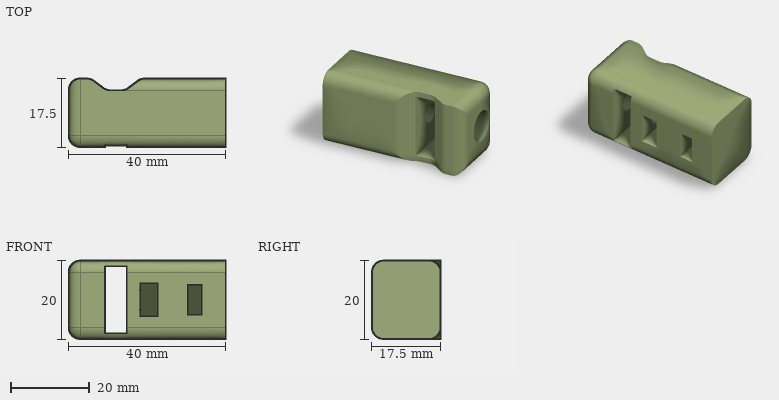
import cadquery as cq

length = 40.0
depth = 17.5
height = 20.0
edge_radius = 3.0

notch_center_x = 12.0
notch_depth = edge_radius
notch_floor_width = 4.8
notch_flank_run = 4.0
notch_blend_radius = 3.0
slot_width = 5.5
slot_height = 17.0

bore_center_y = 6.9
counterbore_diameter = 8.5
counterbore_depth = 5.0
bore_diameter = 5.2

front_pocket_start_x = 18.2
front_pocket_width = 4.5
front_pocket_height = 8.5
rear_pocket_start_x = 30.25
rear_pocket_width = 3.55
rear_pocket_height = 7.6
pocket_depth = bore_center_y + counterbore_diameter / 2

slot_start_x = notch_center_x - slot_width / 2


def block(start_x, size_x, size_y, size_z):
    """Box from start_x along +X, standing on the -Y side, centred in Z."""
    box = cq.Workplane("XY").box(size_x, size_y, size_z, centered=(False, False, True))
    return box.translate((start_x, 0, 0))


def make_body():
    """Front half with a rounded end and sharp +Y edges, rear half with all four long edges rounded."""
    front = block(0, notch_center_x, depth, height)
    front = front.edges("<X or (|X and <Y)").fillet(edge_radius)
    rear = block(notch_center_x, length - notch_center_x, depth, height)
    rear = rear.edges("|X").fillet(edge_radius)
    return front.union(rear)


def make_notch():
    """Trapezoid with blended corners; an outer lip above the +Y side gives the upper blends their flats."""
    floor_half = notch_floor_width / 2
    mouth_half = floor_half + notch_flank_run
    lip_half = mouth_half + notch_blend_radius
    lip_thickness = 1.0
    floor_y = depth - notch_depth
    profile = [
        (-lip_half, depth + lip_thickness),
        (-lip_half, depth),
        (-mouth_half, depth),
        (-floor_half, floor_y),
        (floor_half, floor_y),
        (mouth_half, depth),
        (lip_half, depth),
        (lip_half, depth + lip_thickness),
    ]
    notch = cq.Workplane("XY").polyline(profile).close().extrude(height / 2, both=True)
    margin = notch_blend_radius / 2
    corner_zone = cq.selectors.BoxSelector(
        (-mouth_half - margin, floor_y - margin, -height),
        (mouth_half + margin, depth + lip_thickness / 2, height),
    )
    notch = notch.edges("|Z").edges(corner_zone).fillet(notch_blend_radius)
    return notch.translate((notch_center_x, 0, 0))


def make_bore(bore_depth, diameter):
    """Cylinder along X that starts at the -X end."""
    return cq.Workplane("YZ", origin=(0, bore_center_y, 0)).circle(diameter / 2).extrude(bore_depth)


result = (
    make_body()
    .cut(make_notch())
    .cut(block(slot_start_x, slot_width, depth, slot_height))
    .cut(make_bore(counterbore_depth, counterbore_diameter))
    .cut(make_bore(front_pocket_start_x, bore_diameter))
    .cut(block(front_pocket_start_x, front_pocket_width, pocket_depth, front_pocket_height))
    .cut(block(rear_pocket_start_x, rear_pocket_width, pocket_depth, rear_pocket_height))
)